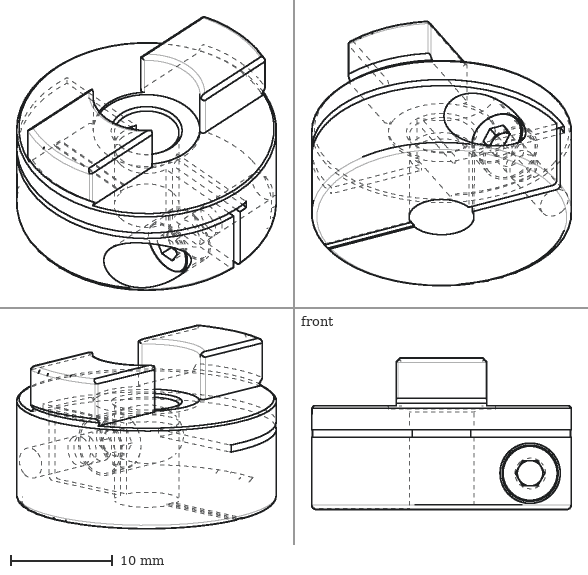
import cadquery as cq
import math

outer_radius = 12.75
disc_height = 10.2
total_height = 14.9
top_chamfer = 0.23
bottom_fillet = 0.48

bore_radius = 3.2
bore_chamfer = 0.3
recess_radius = 5.25
recess_depth = 0.3

jaw_width = 8.92
jaw_edge = 0.43
outer_corner_radius = 0.25
inner_corner_radius = 0.3
groove_depth = 0.48

slot_bottom = 7.11
slot_top = 7.83
slot_end_y = 1.38
slit_width = 0.87
hinge_groove_depth = 0.15

screw_x = 8.7
screw_z = 3.57
counterbore_radius = 2.95
head_radius = 2.75
head_chamfer = 0.1
head_length = 3.0
head_front_y = -5.6
shank_radius = 1.5
shank_length = 10.0
hex_across_flats = 2.5
hex_depth = 1.28
socket_cone_depth = 0.71

head_seat_y = head_front_y + head_length
jaw_height = total_height - disc_height


def cylinder_along_y(radius, start_y, length):
    """Cylinder on the screw axis, running from start_y toward +Y."""
    base = cq.Workplane("XZ", origin=(screw_x, start_y, screw_z))
    return base.circle(radius).extrude(-length)


def make_disc():
    disc = cq.Workplane("XY").circle(outer_radius).extrude(disc_height)
    return disc.faces("<Z").edges().fillet(bottom_fillet)


def make_jaws():
    """Ring with rounded top edges, trimmed to a bar across the hub."""
    shoulder_z = total_height - jaw_edge
    arc_inset = jaw_edge * (1 - math.sqrt(0.5))
    ring = (
        cq.Workplane("XZ")
        .moveTo(recess_radius, disc_height)
        .lineTo(recess_radius, shoulder_z)
        .threePointArc(
            (recess_radius + arc_inset, total_height - arc_inset),
            (recess_radius + jaw_edge, total_height),
        )
        .lineTo(outer_radius - jaw_edge, total_height)
        .threePointArc(
            (outer_radius - arc_inset, total_height - arc_inset),
            (outer_radius, shoulder_z),
        )
        .lineTo(outer_radius, disc_height)
        .close()
        .revolve(360, (0, 0, 0), (0, 1, 0))
    )
    bar = (
        cq.Workplane("XY")
        .box(jaw_width, 2 * outer_radius, jaw_height, centered=(True, True, False))
        .translate((0, 0, disc_height))
        .faces(">Z")
        .edges("|Y")
        .chamfer(jaw_edge)
    )
    jaws = ring.intersect(bar)
    inner_reach = (recess_radius + outer_radius) / 2
    near_axis = cq.selectors.BoxSelector(
        (-jaw_width, -inner_reach, 0), (jaw_width, inner_reach, total_height)
    )
    upright = cq.selectors.ParallelDirSelector(cq.Vector(0, 0, 1))
    jaws = jaws.edges(upright - near_axis).fillet(outer_corner_radius)
    return jaws.edges(upright & near_axis).fillet(inner_corner_radius)


def make_rim_groove():
    """45-degree V ring: undercuts the jaw feet and chamfers the top rim of the disc."""
    bottom_z = disc_height - top_chamfer
    apex_z = bottom_z + groove_depth
    clear_width = 2 * groove_depth
    return (
        cq.Workplane("XZ")
        .moveTo(outer_radius - groove_depth, apex_z)
        .lineTo(outer_radius - groove_depth + clear_width, apex_z - clear_width)
        .lineTo(outer_radius - groove_depth + clear_width, apex_z + clear_width)
        .close()
        .revolve(360, (0, 0, 0), (0, 1, 0))
    )


def make_bore():
    """Recess, chamfered bore mouth and through bore as one cutting tool."""
    floor_z = disc_height - recess_depth
    bore = cq.Workplane("XY").circle(bore_radius).extrude(disc_height)
    recess = cq.Workplane("XY", origin=(0, 0, floor_z)).circle(recess_radius).extrude(recess_depth)
    mouth = cq.Workplane(
        cq.Solid.makeCone(
            bore_radius, bore_radius + bore_chamfer, bore_chamfer, cq.Vector(0, 0, floor_z - bore_chamfer)
        )
    )
    return bore.union(recess).union(mouth)


def make_clamp_cuts():
    slot = cq.Workplane("XY").box(
        2 * outer_radius, outer_radius + slot_end_y, slot_top - slot_bottom, centered=(True, False, False)
    )
    slot = slot.translate((0, -outer_radius, slot_bottom))
    slit = cq.Workplane("XY").box(outer_radius, slit_width, slot_top, centered=(False, True, False))
    hinge_groove = cq.Workplane("XY").box(
        outer_radius, slit_width, hinge_groove_depth, centered=(False, True, False)
    )
    return slot.union(slit).union(hinge_groove.translate((-outer_radius, 0, 0)))


def make_screw_hole():
    counterbore = cylinder_along_y(counterbore_radius, -outer_radius, outer_radius + head_seat_y)
    return counterbore.union(cylinder_along_y(shank_radius, head_seat_y, shank_length))


def make_hub():
    hub = make_disc().cut(make_bore()).union(make_jaws()).cut(make_rim_groove())
    return hub.cut(make_clamp_cuts()).cut(make_screw_hole())


def make_screw():
    """Socket head cap screw with a hexagon socket ending in a cone."""
    head = cylinder_along_y(head_radius, head_front_y, head_length).faces("<Y").edges().chamfer(head_chamfer)
    shank = cylinder_along_y(shank_radius, head_seat_y, shank_length)
    hex_corner_diameter = hex_across_flats / math.cos(math.pi / 6)
    socket = (
        cq.Workplane("XZ", origin=(screw_x, head_front_y, screw_z))
        .polygon(6, hex_corner_diameter)
        .extrude(-hex_depth)
    )
    cone_base = cq.Vector(screw_x, head_front_y + hex_depth, screw_z)
    cone = cq.Solid.makeCone(hex_across_flats / 2, 0, socket_cone_depth, cone_base, cq.Vector(0, 1, 0))
    return head.union(shank).cut(socket).cut(cq.Workplane(cone))


hub = make_hub()
screw = make_screw()
result = cq.Compound.makeCompound([hub.val(), screw.val()])